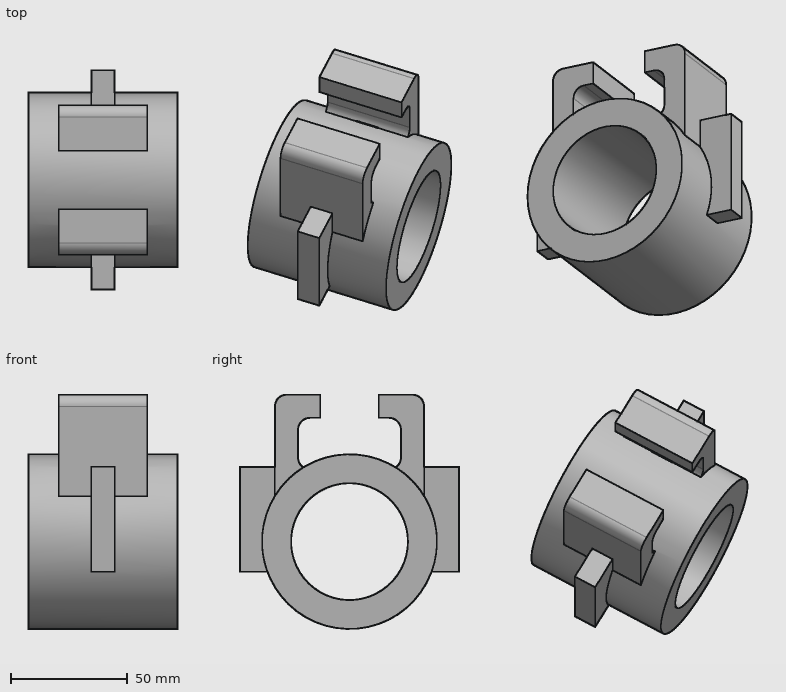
import cadquery as cq

sleeve_length = 64.0
sleeve_diameter = 75.0
bore_diameter = 50.0

jaw_length = 38.0
jaw_wall = 10.0
jaw_outer_width = 64.0
jaw_top_z = 63.0
jaw_corner_radius = 5.0

channel_width = jaw_outer_width - 2 * jaw_wall
channel_height = 22.0
channel_top_z = jaw_top_z - jaw_wall
channel_mid_z = channel_top_z - channel_height / 2
channel_corner_radius = 5.0
mouth_width = 25.0

fin_thickness = 10.0
fin_span = 94.0
fin_height = 45.0
fin_top_z = 32.0


def box_on_axis(length_x, width_y, bottom_z, top_z):
    """Box centred in X and Y between two heights."""
    height = top_z - bottom_z
    return cq.Workplane("XY").box(length_x, width_y, height).translate((0, 0, bottom_z + height / 2))


def x_cylinder(diameter):
    """Cylinder along X as long as the sleeve."""
    end_plane = cq.Workplane("YZ").workplane(offset=-sleeve_length / 2)
    return end_plane.circle(diameter / 2).extrude(sleeve_length)


def jaws():
    """Rounded block rising from the sleeve axis, split by the T-shaped channel."""
    block = box_on_axis(jaw_length, jaw_outer_width, 0, jaw_top_z)
    block = block.edges("|X and >Z").fillet(jaw_corner_radius)

    channel = cq.Workplane("XY").box(jaw_length, channel_width, channel_height)
    channel = channel.edges("|X").fillet(channel_corner_radius).translate((0, 0, channel_mid_z))
    mouth = box_on_axis(jaw_length, mouth_width, channel_mid_z, jaw_top_z)

    return block.cut(channel).cut(mouth)


def fins():
    """Plate reaching out past both sides of the sleeve."""
    return box_on_axis(fin_thickness, fin_span, fin_top_z - fin_height, fin_top_z)


result = x_cylinder(sleeve_diameter).union(jaws()).union(fins()).cut(x_cylinder(bore_diameter))